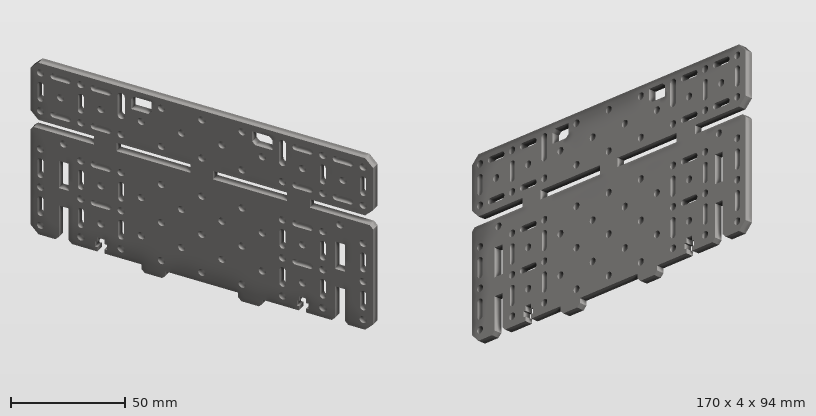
import cadquery as cq


width = 170
total_height = 94.0
thickness = 4.0

margin_in_pitches = 0.25
pitch = width / (8 + 2 * margin_in_pitches)
margin = margin_in_pitches * pitch
body_height = 4 * pitch + 2 * margin
tab_height = total_height - body_height

corner_chamfer = 0.2 * pitch
small_chamfer = 1.7

hole_diameter = 3.5
slot_width = 0.15 * pitch
slot_length = 10.2

upper_panel_height = 1.5 * pitch
gap_height = 4.5
center_bridge_width = 11.0
gap_slot_length = 36.7
gap_top = body_height - upper_panel_height
gap_bottom = gap_top - gap_height
gap_slot_start = center_bridge_width / 2
side_gap_start = 53.5

tab_width = 12.0
tab_center_x = 24.0

side_x = 68.5
side_opening_width = 4.8
side_hole_z = 51.2
side_window_height = 14.3
side_window_bottom = 27.4
side_notch_depth = 18.2

screw_slot_x = 2.5 * pitch
screw_slot_width = 3.5
screw_slot_depth = 7.3
nut_pocket_width = 5.8
nut_pocket_height = 2.7
nut_pocket_bottom = 2.2

cable_window_x = 1.5 * pitch
cable_window_width = 10.0
cable_window_height = 6.8
cable_window_chamfer = 1.5
cable_window_top = body_height - margin + hole_diameter / 2


def grid_z(row):
    """Height of a grid row, counted from the lowest one."""
    return margin + row * pitch


def grid_points(columns, rows):
    """Grid positions on both sides of the centre line."""
    signed_columns = {sign * column for column in columns for sign in (-1, 1)}
    return [(column * pitch, grid_z(row)) for column in sorted(signed_columns) for row in rows]


def extrude_profile(profile):
    """Give a closed XZ profile the plate thickness, from Y = 0 toward +Y."""
    return profile.extrude(-thickness)


def box(x_min, x_max, z_min, z_max):
    """Plate-thick block spanning the given X and Z ranges."""
    center = ((x_min + x_max) / 2, (z_min + z_max) / 2)
    return extrude_profile(cq.Workplane("XZ").center(*center).rect(x_max - x_min, z_max - z_min))


def centered_box(x_center, x_size, z_min, z_max):
    """Plate-thick block centred on x_center."""
    return box(x_center - x_size / 2, x_center + x_size / 2, z_min, z_max)


def both_sides(shape):
    """A shape together with its mirror image across X = 0."""
    return shape.union(shape.mirror("YZ"))


def chamfered_panel(z_min, z_max, top_chamfer):
    """Full-width panel with chamfered corners."""
    panel = box(-width / 2, width / 2, z_min, z_max)
    panel = panel.faces("<Z").edges("|Y").chamfer(corner_chamfer)
    return panel.faces(">Z").edges("|Y").chamfer(top_chamfer)


def bottom_tab():
    tab = centered_box(tab_center_x, tab_width, -tab_height, 0)
    return tab.faces("<Z").edges("|Y").chamfer(small_chamfer)


def plate_body():
    """Two panels joined by three bridges, plus the bottom tabs."""
    upper = chamfered_panel(gap_top, body_height, corner_chamfer)
    lower = chamfered_panel(0, gap_bottom, small_chamfer)
    center_bridge = centered_box(0, center_bridge_width, gap_bottom, gap_top)
    side_bridge = box(gap_slot_start + gap_slot_length, side_gap_start, gap_bottom, gap_top)
    panels = upper.union(lower).union(center_bridge).union(both_sides(side_bridge))
    return panels.union(both_sides(bottom_tab()))


def round_holes():
    points = grid_points((0, 1, 3, 4), (0, 1, 2, 3, 4))
    points += grid_points((2,), (0, 1, 2, 3))
    points += grid_points((0.5, 1.5, 2.5), (0.5, 1.5, 3.5))
    points += grid_points((3.5,), (3.5,))
    points += [(-side_x, side_hole_z), (side_x, side_hole_z)]
    return extrude_profile(cq.Workplane("XZ").pushPoints(points).circle(hole_diameter / 2))


def rounded_slots(points, length, slot_diameter, angle):
    return extrude_profile(cq.Workplane("XZ").pushPoints(points).slot2D(length, slot_diameter, angle))


def horizontal_slots():
    points = grid_points((2.5,), (1, 2, 3, 4)) + grid_points((3.5,), (3, 4))
    return rounded_slots(points, slot_length, slot_width, 0)


def vertical_slots():
    points = grid_points((3, 4), (0.5, 1.5, 3.5)) + grid_points((2,), (0.5, 1.5))
    return rounded_slots(points, slot_length, slot_width, 90)


def long_slots():
    """Vertical slots that stretch a top-row hole half a pitch downward."""
    points = grid_points((2,), (3.75,))
    return rounded_slots(points, pitch / 2 + hole_diameter, hole_diameter, 90)


def side_openings():
    """Closed window, and the notch below it with a flared mouth."""
    window_top = side_window_bottom + side_window_height
    window = centered_box(side_x, side_opening_width, side_window_bottom, window_top)
    notch = centered_box(side_x, side_opening_width, 0, side_notch_depth)
    half_width = side_opening_width / 2
    mouth_profile = [
        (side_x - half_width - small_chamfer, 0),
        (side_x + half_width + small_chamfer, 0),
        (side_x + half_width, small_chamfer),
        (side_x - half_width, small_chamfer),
    ]
    mouth = extrude_profile(cq.Workplane("XZ").polyline(mouth_profile).close())
    return both_sides(window.union(notch).union(mouth))


def screw_slots():
    screw = centered_box(screw_slot_x, screw_slot_width, 0, screw_slot_depth)
    nut_pocket_top = nut_pocket_bottom + nut_pocket_height
    nut = centered_box(screw_slot_x, nut_pocket_width, nut_pocket_bottom, nut_pocket_top)
    return both_sides(screw.union(nut))


def cable_windows():
    """Windows chamfered at the upper outer and lower inner corners."""
    window_bottom = cable_window_top - cable_window_height
    window = centered_box(cable_window_x, cable_window_width, window_bottom, cable_window_top)
    window = window.edges("|Y and >(1, 0, 1)").chamfer(cable_window_chamfer)
    window = window.edges("|Y and <(1, 0, 1)").chamfer(cable_window_chamfer)
    return both_sides(window)


result = plate_body()
for cutter in (
    round_holes(),
    horizontal_slots(),
    vertical_slots(),
    long_slots(),
    side_openings(),
    screw_slots(),
    cable_windows(),
):
    result = result.cut(cutter)